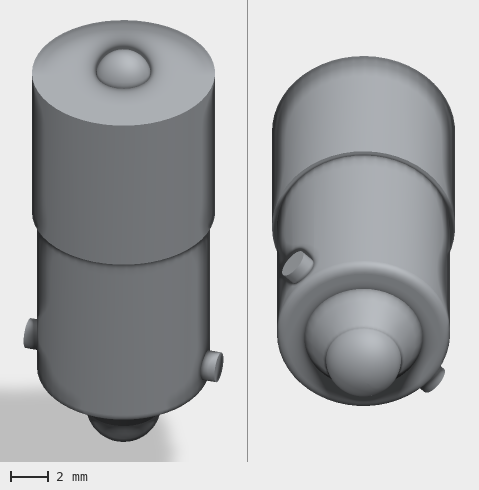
import cadquery as cq
import math

total_height = 24.7
cap_top = 23.5
cap_bottom = 14.47
body_bottom = 4.0

cap_radius = 9.7 / 2
body_radius = 9.2 / 2
body_edge_fillet = 0.5
cone_top_radius = 3.14
contact_radius = 2.0
dome_base_radius = 1.45

pin_diameter = 1.6
pin_span = 10.6
pin_height = 5.5


def make_shell():
    """Cap and slimmer body, with a rounded lower body edge."""
    body = (
        cq.Workplane("XY", origin=(0, 0, body_bottom))
        .circle(body_radius)
        .extrude(cap_bottom - body_bottom)
        .faces("<Z")
        .edges()
        .fillet(body_edge_fillet)
    )
    cap = (
        cq.Workplane("XY", origin=(0, 0, cap_bottom))
        .circle(cap_radius)
        .extrude(cap_top - cap_bottom)
    )
    return body.union(cap)


def make_contact():
    """Tapered insulator ending in a hemispherical contact."""
    arc_mid = contact_radius * math.sqrt(0.5)
    return (
        cq.Workplane("XZ")
        .moveTo(0, 0)
        .threePointArc((arc_mid, contact_radius - arc_mid), (contact_radius, contact_radius))
        .lineTo(cone_top_radius, body_bottom)
        .lineTo(0, body_bottom)
        .close()
        .revolve(360, (0, 0, 0), (0, 1, 0))
    )


def make_dome():
    """Lens on top: the part of a sphere that rises above the cap."""
    dome_height = total_height - cap_top
    sphere_radius = (dome_base_radius**2 + dome_height**2) / (2 * dome_height)
    sphere_center = total_height - sphere_radius
    return cq.Workplane("XY", origin=(0, 0, sphere_center)).sphere(sphere_radius)


def make_pins():
    """One rod across the body forms both opposite pins."""
    return (
        cq.Workplane("YZ", origin=(0, 0, pin_height))
        .circle(pin_diameter / 2)
        .extrude(pin_span / 2, both=True)
    )


result = make_shell().union(make_contact()).union(make_dome()).union(make_pins())